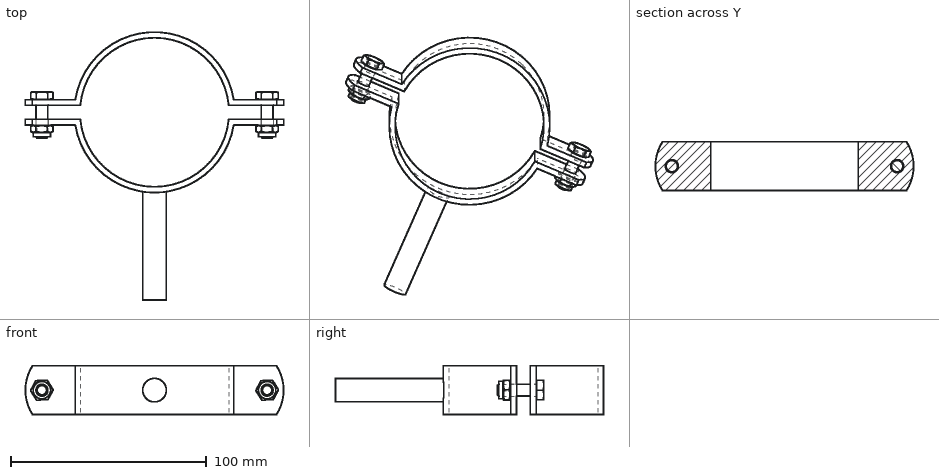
import cadquery as cq
import math

overall_length = 136.9
ring_diameter = 82.0
wall = 3.0
clamp_height = 25.0
clamp_gap = 7.0
tab_span = 132.0
tab_corner_span = 124.6
rod_diameter = 12.0

bolt_spacing = 115.0
bolt_diameter = 6.0
bolt_hole_diameter = 6.5
bolt_tip_diameter = 4.8
bolt_tip_length = 0.8
hex_across_flats = 10.0
head_height = 4.0
washer_face_height = 0.3
washer_face_diameter = 8.9
head_face_diameter = 9.9
nut_height = 6.0
nut_hex_height = 4.0
nut_base_diameter = 8.8
nut_collar_diameter = 8.9
cone_angle = 30.0
nut_turn = 2.0

ring_radius = ring_diameter / 2
bore_radius = ring_radius - wall
tab_inner_y = clamp_gap / 2
tab_outer_y = tab_inner_y + wall
hex_across_corners = hex_across_flats / math.cos(math.radians(30))


def cylinder_y(diameter, y_start, y_end):
    """Cylinder on the Y axis between two Y positions."""
    return (
        cq.Workplane("XZ", origin=(0, y_end, 0))
        .circle(diameter / 2)
        .extrude(y_end - y_start)
    )


def hex_y(y_start, y_end):
    """Hexagonal prism on the Y axis with corners pointing along X."""
    return (
        cq.Workplane("XZ", origin=(0, y_end, 0))
        .polygon(6, hex_across_corners)
        .extrude(y_end - y_start)
    )


def turned_y(profile):
    """Solid of revolution about the Y axis from (radius, y) points."""
    return cq.Workplane("XY").polyline(profile).close().revolve(360, (0, 0, 0), (0, 1, 0))


def cone_height(face_diameter):
    """Height of the corner chamfer cone from a face circle out to the hexagon corners."""
    return (hex_across_corners - face_diameter) / 2 * math.tan(math.radians(cone_angle))


def tab_plate():
    """Pair of tabs as one plate on the +Y side, with arc ends and bolt holes."""
    plate = (
        cq.Workplane("XZ", origin=(0, tab_outer_y, 0))
        .moveTo(-tab_corner_span / 2, -clamp_height / 2)
        .lineTo(tab_corner_span / 2, -clamp_height / 2)
        .threePointArc((tab_span / 2, 0), (tab_corner_span / 2, clamp_height / 2))
        .lineTo(-tab_corner_span / 2, clamp_height / 2)
        .threePointArc((-tab_span / 2, 0), (-tab_corner_span / 2, -clamp_height / 2))
        .close()
        .extrude(wall)
    )
    for side in (-1, 1):
        hole = cylinder_y(bolt_hole_diameter, tab_inner_y, tab_outer_y)
        plate = plate.cut(hole.translate((side * bolt_spacing / 2, 0, 0)))
    return plate


def clamp_half():
    """Half ring with its two tabs, on the +Y side."""
    disc = cq.Workplane("XY").circle(ring_radius).extrude(clamp_height / 2, both=True)
    bore = cq.Workplane("XY").circle(bore_radius).extrude(clamp_height / 2, both=True)
    kept_side = cq.Workplane("XY").box(
        tab_span, ring_diameter, clamp_height
    ).translate((0, tab_inner_y + ring_radius, 0))
    return disc.intersect(kept_side).union(tab_plate()).cut(bore)


def rod_clamp_half():
    """Clamp half on the -Y side with the mounting rod joined to its ring."""
    half = clamp_half().mirror("XZ")
    rod = cylinder_y(rod_diameter, ring_radius - overall_length, -bore_radius)
    bore = cq.Workplane("XY").circle(bore_radius).extrude(clamp_height / 2, both=True)
    return half.union(rod.cut(bore))


def bolt():
    """Hex bolt with its head on the +Y tab and a tapered tip beyond the nut."""
    head_base = tab_outer_y + washer_face_height
    head_top = tab_outer_y + head_height
    nut_end = -tab_outer_y - nut_height
    head_envelope = turned_y([
        (0, head_base),
        (hex_across_corners / 2, head_base),
        (hex_across_corners / 2, head_top - cone_height(head_face_diameter)),
        (head_face_diameter / 2, head_top),
        (0, head_top),
    ])
    shank = turned_y([
        (0, tab_outer_y),
        (bolt_diameter / 2, tab_outer_y),
        (bolt_diameter / 2, nut_end),
        (bolt_tip_diameter / 2, nut_end - bolt_tip_length),
        (0, nut_end - bolt_tip_length),
    ])
    washer_face = cylinder_y(washer_face_diameter, tab_outer_y, head_base)
    head = hex_y(head_base, head_top).intersect(head_envelope)
    return head.union(washer_face).union(shank)


def nut():
    """Hex nut with a round collar, seated on the -Y tab."""
    seat = -tab_outer_y
    hex_end = seat - nut_hex_height
    nut_end = seat - nut_height
    hex_envelope = turned_y([
        (0, seat),
        (nut_base_diameter / 2, seat),
        (hex_across_corners / 2, seat - cone_height(nut_base_diameter)),
        (hex_across_corners / 2, hex_end + cone_height(nut_collar_diameter)),
        (nut_collar_diameter / 2, hex_end),
        (0, hex_end),
    ])
    collar = cylinder_y(nut_collar_diameter, nut_end, hex_end)
    thread_hole = cylinder_y(bolt_diameter, nut_end, seat)
    turned_hex = hex_y(hex_end, seat).rotate((0, 0, 0), (0, 1, 0), -nut_turn)
    return turned_hex.intersect(hex_envelope).union(collar).cut(thread_hole)


plain_half = clamp_half()
rod_half = rod_clamp_half()
bolts = []
nuts = []
for side in (-1, 1):
    bolt_position = (side * bolt_spacing / 2, 0, 0)
    bolts.append(bolt().translate(bolt_position).val())
    nuts.append(nut().translate(bolt_position).val())

result = cq.Compound.makeCompound([plain_half.val(), rod_half.val(), *bolts, *nuts])